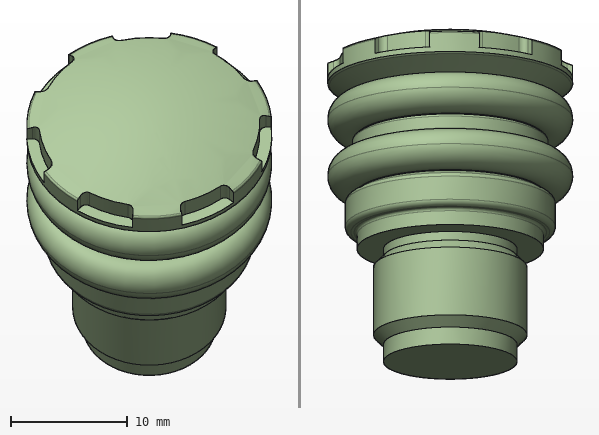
import cadquery as cq
import math

height = 28.5
head_radius = 21.0 / 2

stem_radius = 13.17 / 2
stem_relief_radius = 11.45 / 2
stem_tip_length = 1.5
stem_chamfer = stem_radius - stem_relief_radius
stem_top = 9.23

shoulder_radius = 16.0 / 2
shoulder_bottom = 10.0
shoulder_fillet = 0.25
collar_radius = 18.0 / 2
collar_bottom = 11.49
collar_bottom_round = 0.48
collar_top = 14.02
collar_top_round = 0.43
cone_slope = math.radians(30)

core_radius = 16.8 / 2
land_bottom = 18.2
land_top = 19.78
land_round = 0.25
groove_floor_radius = core_radius - land_round
ring_tube_radius = 1.77
ring_heights = (16.5, 21.52)

rim_bottom = 24.55
rim_bottom_chamfer = 0.15
rim_top = 26.53
rim_top_round = 0.17
dome_edge_radius = head_radius - rim_top_round

notch_count = 7
notch_half_angle = math.radians(14)
notch_floor = 25.15
notch_inner_radius = 9.45
notch_corner_round = 0.57
first_notch_angle = -90
cutter_overrun = 1.15


def round_point(center_x, center_z, radius, degrees):
    """Point on a circle in the profile plane."""
    angle = math.radians(degrees)
    return center_x + radius * math.cos(angle), center_z + radius * math.sin(angle)


def make_stem():
    lower_chamfer_top = stem_tip_length + stem_chamfer
    upper_chamfer_bottom = stem_top - stem_chamfer
    return (
        cq.Workplane("XZ")
        .lineTo(stem_relief_radius, 0)
        .lineTo(stem_relief_radius, stem_tip_length)
        .lineTo(stem_radius, lower_chamfer_top)
        .lineTo(stem_radius, upper_chamfer_bottom)
        .lineTo(stem_relief_radius, stem_top)
        .lineTo(stem_relief_radius, shoulder_bottom)
        .lineTo(0, shoulder_bottom)
        .close()
        .revolve(360, (0, 0), (0, 1))
    )


def make_upper_body():
    """Shoulder, collar, core and domed head as one turned shape."""
    fillet_x = shoulder_radius + shoulder_fillet
    fillet_z = collar_bottom - shoulder_fillet
    lower_x = collar_radius - collar_bottom_round
    lower_z = collar_bottom + collar_bottom_round
    upper_x = collar_radius - collar_top_round
    cone_start = round_point(upper_x, collar_top, collar_top_round, 60)
    cone_end_z = cone_start[1] + (cone_start[0] - groove_floor_radius) * math.tan(cone_slope)
    rim_chamfer_x = head_radius - rim_bottom_chamfer
    underside_z = rim_bottom - (rim_chamfer_x - groove_floor_radius) * math.tan(cone_slope)
    dome_rise = height - rim_top
    dome_radius = (dome_edge_radius**2 + dome_rise**2) / (2 * dome_rise)
    dome_mid_x = dome_edge_radius / 2
    dome_mid_z = height - dome_radius + math.sqrt(dome_radius**2 - dome_mid_x**2)
    return (
        cq.Workplane("XZ")
        .moveTo(0, shoulder_bottom)
        .lineTo(shoulder_radius, shoulder_bottom)
        .lineTo(shoulder_radius, fillet_z)
        .threePointArc(
            round_point(fillet_x, fillet_z, shoulder_fillet, 135),
            (fillet_x, collar_bottom),
        )
        .lineTo(lower_x, collar_bottom)
        .threePointArc(
            round_point(lower_x, lower_z, collar_bottom_round, -45),
            (collar_radius, lower_z),
        )
        .lineTo(collar_radius, collar_top)
        .threePointArc(round_point(upper_x, collar_top, collar_top_round, 30), cone_start)
        .lineTo(groove_floor_radius, cone_end_z)
        .lineTo(groove_floor_radius, land_bottom)
        .threePointArc(
            round_point(groove_floor_radius, land_bottom + land_round, land_round, -45),
            (core_radius, land_bottom + land_round),
        )
        .lineTo(core_radius, land_top - land_round)
        .threePointArc(
            round_point(groove_floor_radius, land_top - land_round, land_round, 45),
            (groove_floor_radius, land_top),
        )
        .lineTo(groove_floor_radius, underside_z)
        .lineTo(rim_chamfer_x, rim_bottom)
        .lineTo(head_radius, rim_bottom + rim_bottom_chamfer)
        .lineTo(head_radius, rim_top - rim_top_round)
        .threePointArc(
            round_point(dome_edge_radius, rim_top - rim_top_round, rim_top_round, 45),
            (dome_edge_radius, rim_top),
        )
        .threePointArc((dome_mid_x, dome_mid_z), (0, height))
        .close()
        .revolve(360, (0, 0), (0, 1))
    )


def make_ring(center_height):
    return (
        cq.Workplane("XZ")
        .center(head_radius - ring_tube_radius, center_height)
        .circle(ring_tube_radius)
        .revolve(360, (ring_tube_radius - head_radius, 0), (ring_tube_radius - head_radius, 1))
    )


def make_notch_cutter():
    """Annular sector centred on +X with radial sides and rounded inner corners."""
    outer_radius = head_radius + cutter_overrun
    cos_half = math.cos(notch_half_angle)
    sin_half = math.sin(notch_half_angle)
    return (
        cq.Workplane("XY")
        .workplane(offset=notch_floor)
        .moveTo(notch_inner_radius * cos_half, -notch_inner_radius * sin_half)
        .lineTo(outer_radius * cos_half, -outer_radius * sin_half)
        .threePointArc((outer_radius, 0), (outer_radius * cos_half, outer_radius * sin_half))
        .lineTo(notch_inner_radius * cos_half, notch_inner_radius * sin_half)
        .threePointArc(
            (notch_inner_radius, 0),
            (notch_inner_radius * cos_half, -notch_inner_radius * sin_half),
        )
        .close()
        .extrude(height - notch_floor)
        .edges("|Z and <X")
        .fillet(notch_corner_round)
    )


result = make_stem().union(make_upper_body())

for ring_height in ring_heights:
    result = result.union(make_ring(ring_height))

notch_cutter = make_notch_cutter()
for index in range(notch_count):
    notch_angle = first_notch_angle + index * 360 / notch_count
    result = result.cut(notch_cutter.rotate((0, 0, 0), (0, 0, 1), notch_angle))